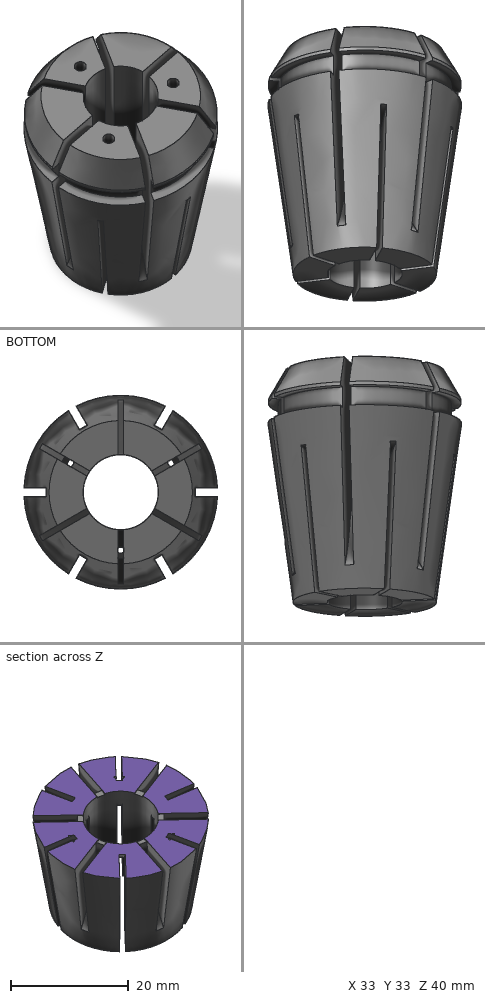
import cadquery as cq
import math

height = 40.0
max_radius = 16.5
bore_radius = 6.375

body_top_z = 31.0
body_bottom_radius = 12.2

neck_radius = 14.75
head_bottom_z = 34.5
head_radius = 16.4
head_rim_height = 0.6
head_cone_angle = 30.0
head_rim_z = head_bottom_z + head_rim_height
head_top_radius = head_radius - (height - head_rim_z) * math.tan(math.radians(head_cone_angle))

slot_count = 6
slot_pitch = 360.0 / slot_count
blade_radius = 26.8
clearance = 2.0
slot_inner_radius = bore_radius - clearance
slot_outer_radius = max_radius + clearance

upper_slot_width = 1.5
upper_slot_end_z = 4.0
shoulder_z = 20.0
shoulder_radius = 7.35
shoulder_angle = 10.0

lower_slot_width = 1.0
lower_slot_end_z = 25.0
lower_slot_bore_z = 16.7

hole_count = 3
hole_diameter = 2.0
hole_circle_radius = 9.35
hole_depth = 20.0
hole_tilt = 3.0
first_hole_angle = 90.0


def body_radius_at(z):
    """Outer radius of the tapered body at height z."""
    return body_bottom_radius + (max_radius - body_bottom_radius) * z / body_top_z


def make_blank():
    """Turned collet blank with its through bore."""
    return (
        cq.Workplane("XZ")
        .moveTo(bore_radius, 0)
        .lineTo(body_bottom_radius, 0)
        .lineTo(max_radius, body_top_z)
        .lineTo(neck_radius, body_top_z)
        .lineTo(neck_radius, head_bottom_z)
        .lineTo(head_radius, head_bottom_z)
        .lineTo(head_radius, head_rim_z)
        .lineTo(head_top_radius, height)
        .lineTo(bore_radius, height)
        .close()
        .revolve(360, (0, 0, 0), (0, 1, 0))
    )


def make_upper_slot():
    """Slot open at the top; its floor curves down from an inner shoulder to the outside."""
    shoulder_drop = (shoulder_radius - slot_inner_radius) * math.tan(math.radians(shoulder_angle))
    return (
        cq.Workplane("XZ")
        .moveTo(slot_inner_radius, shoulder_z - shoulder_drop)
        .lineTo(shoulder_radius, shoulder_z)
        .radiusArc((body_radius_at(upper_slot_end_z), upper_slot_end_z), -blade_radius)
        .lineTo(slot_outer_radius, upper_slot_end_z)
        .lineTo(slot_outer_radius, height + clearance)
        .lineTo(slot_inner_radius, height + clearance)
        .close()
        .extrude(upper_slot_width / 2, both=True)
    )


def make_lower_slot():
    """Slot open at the bottom; its roof curves up from the bore to the outside."""
    return (
        cq.Workplane("XZ")
        .moveTo(slot_inner_radius, -clearance)
        .lineTo(slot_inner_radius, lower_slot_bore_z)
        .lineTo(bore_radius, lower_slot_bore_z)
        .radiusArc((body_radius_at(lower_slot_end_z), lower_slot_end_z), blade_radius)
        .lineTo(slot_outer_radius, lower_slot_end_z)
        .lineTo(slot_outer_radius, -clearance)
        .close()
        .extrude(lower_slot_width / 2, both=True)
    )


def make_slanted_hole():
    """Blind hole offset along +X from the axis, leaning outward as it goes down."""
    tilt = math.radians(hole_tilt)
    direction = cq.Vector(math.sin(tilt), 0, -math.cos(tilt))
    entry = cq.Vector(hole_circle_radius, 0, height)
    start = entry - direction * clearance
    drill = cq.Solid.makeCylinder(hole_diameter / 2, hole_depth + clearance, start, direction)
    return cq.Workplane(obj=drill)


def cut_around_axis(body, tool, count, first_angle):
    """Cut count evenly spaced copies of tool about the Z axis."""
    for index in range(count):
        angle = first_angle + index * 360.0 / count
        body = body.cut(tool.rotate((0, 0, 0), (0, 0, 1), angle))
    return body


collet = make_blank()
collet = cut_around_axis(collet, make_upper_slot(), slot_count, 0)
collet = cut_around_axis(collet, make_lower_slot(), slot_count, slot_pitch / 2)
collet = cut_around_axis(collet, make_slanted_hole(), hole_count, first_hole_angle)

result = collet